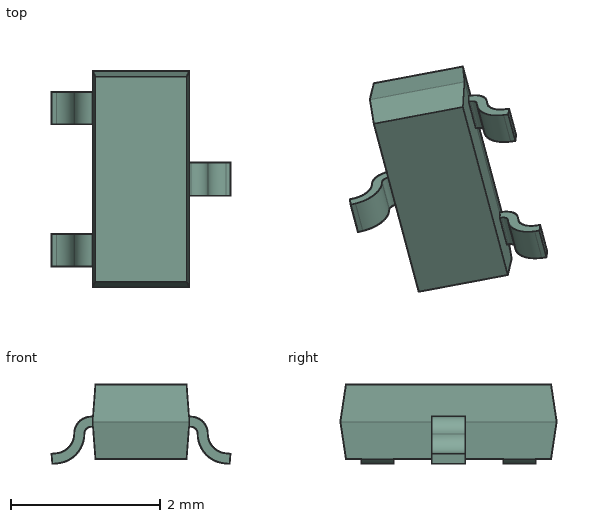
import cadquery as cq
import math

body_length = 2.9
body_width = 1.3
body_height = 1.0
end_inset = 0.075
side_inset = 0.038
standoff = 0.067

lead_span = 2.4
lead_thickness = 0.14
paired_lead_width = 0.438
single_lead_width = 0.45
lead_spacing = 1.902
exit_length = 0.015
upper_bend_radius = 0.232
lower_bend_radius = 0.26
foot_droop = 5.0
embedded_length = 0.145

parting_z = standoff + body_height / 2


def body_half(height):
    """Tapered half from the parting plane; a negative height goes down."""
    return (
        cq.Workplane("XY", origin=(0, 0, parting_z))
        .rect(body_width, body_length)
        .workplane(offset=height)
        .rect(body_width - 2 * side_inset, body_length - 2 * end_inset)
        .loft(ruled=True)
    )


def around(center, radius, degrees):
    """Point (x, z) on a circle, by its angle from +X toward +Z."""
    angle = math.radians(degrees)
    return (center[0] + radius * math.cos(angle), center[1] + radius * math.sin(angle))


def lead(width, center_y):
    """Lead on the +X side, its profile drawn in XZ and extruded along Y."""
    upper_outer = upper_bend_radius
    upper_inner = upper_bend_radius - lead_thickness
    lower_inner = lower_bend_radius
    lower_outer = lower_bend_radius + lead_thickness

    start_x = body_width / 2 - embedded_length
    top_z = parting_z + lead_thickness / 2
    bend_x = body_width / 2 + exit_length
    upper_center = (bend_x, top_z - upper_outer)
    lower_center = (bend_x + upper_outer + lower_inner, upper_center[1])

    foot_angle = 270 - foot_droop
    middle_angle = (180 + foot_angle) / 2
    foot_top = around(lower_center, lower_inner, foot_angle)
    foot_bottom = around(lower_center, lower_outer, foot_angle)
    foot_length = (lead_span / 2 - foot_top[0]) / math.cos(math.radians(foot_droop))
    tip_top = around(foot_top, foot_length, -foot_droop)
    tip_bottom = around(foot_bottom, foot_length, -foot_droop)

    return (
        cq.Workplane("XZ", origin=(0, center_y, 0))
        .moveTo(start_x, top_z)
        .lineTo(bend_x, top_z)
        .threePointArc(around(upper_center, upper_outer, 45), around(upper_center, upper_outer, 0))
        .threePointArc(around(lower_center, lower_inner, middle_angle), foot_top)
        .lineTo(*tip_top)
        .lineTo(*tip_bottom)
        .lineTo(*foot_bottom)
        .threePointArc(
            around(lower_center, lower_outer, middle_angle),
            around(lower_center, lower_outer, 180),
        )
        .threePointArc(around(upper_center, upper_inner, 45), around(upper_center, upper_inner, 90))
        .lineTo(start_x, top_z - lead_thickness)
        .close()
        .extrude(width / 2, both=True)
    )


result = body_half(body_height / 2).union(body_half(-body_height / 2))

result = result.union(lead(single_lead_width, 0))
for center_y in (-lead_spacing / 2, lead_spacing / 2):
    result = result.union(lead(paired_lead_width, center_y).mirror("YZ"))